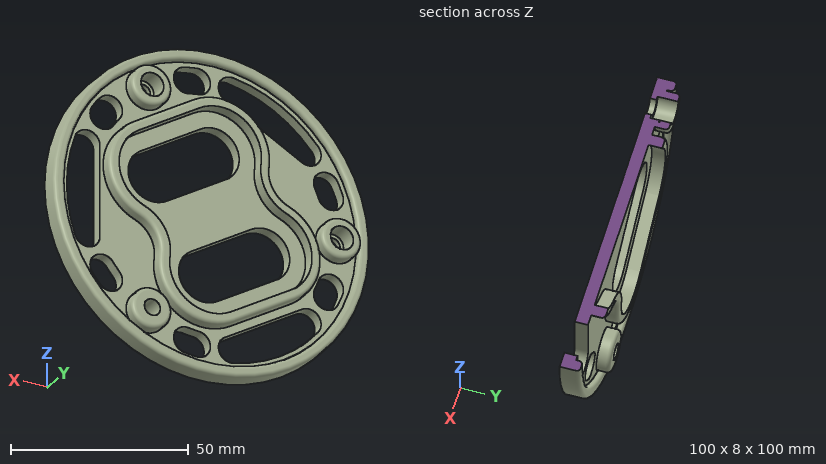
import cadquery as cq
import math

PLATE_RADIUS = 50.0
FLOOR_THICKNESS = 4.0
RIM_HEIGHT = 6.0
RIM_INNER_RADIUS = 46.5
TOTAL_HEIGHT = 8.0
EDGE_FILLET = 1.2

PATTERN_COUNT = 3
PATTERN_STEP = 360.0 / PATTERN_COUNT
FIRST_HOLE_ANGLE = 60.0

HOLE_RADIUS = 2.5
HOLE_PITCH_RADIUS = 40.0
BOSS_RADIUS = 6.25
COUNTERBORE_RADIUS = 3.6
COUNTERBORE_FLOOR = 2.0
COUNTERBORED_HOLES = 2

ARC_SLOT_RADIUS = 41.0
ARC_SLOT_HALF_WIDTH = 4.0
ARC_SLOT_NEAR_ANGLE = 20.0
ARC_SLOT_FAR_ANGLE = 25.0

WINDOW_INNER_DISTANCE = 34.5
WINDOW_OUTER_RADIUS = 45.0
WINDOW_CORNER_RADIUS = 4.0

LONG_SLOT_OFFSET = 16.0
LONG_SLOT_HALF_LENGTH = 11.0
LONG_SLOT_RADIUS = 8.0
LONG_SLOT_TILT = -30.0
PAD_LOBE_RADIUS = 16.0
PAD_VALLEY_RADIUS = 10.0
PAD_WALL_THICKNESS = 3.0


def polar(radius, angle):
    """Point at a radius and an angle in degrees."""
    return (radius * math.cos(math.radians(angle)), radius * math.sin(math.radians(angle)))


def sketch_at(height=0.0):
    """Workplane parallel to XZ at the given Y; its local axes are X and Z."""
    return cq.Workplane("XZ", origin=(0, height, 0))


def raise_up(outline, height):
    """Extrude an outline towards +Y."""
    return outline.extrude(-height)


def turn(shape, angle):
    """Turn a shape about the plate axis, from +X towards +Z."""
    return shape.rotate((0, 0, 0), (0, -1, 0), angle)


def round_top(shape):
    return shape.faces(">Y").edges().fillet(EDGE_FILLET)


def dish():
    """Floor disc with a raised rim."""
    disc = raise_up(sketch_at().circle(PLATE_RADIUS), RIM_HEIGHT)
    recess = raise_up(sketch_at(FLOOR_THICKNESS).circle(RIM_INNER_RADIUS), RIM_HEIGHT - FLOOR_THICKNESS)
    return round_top(disc.cut(recess))


def hole_pattern(radius, bottom, count=PATTERN_COUNT):
    """Cylinders at the first hole positions, from a bottom height up to the full height."""
    centres = [polar(HOLE_PITCH_RADIUS, FIRST_HOLE_ANGLE + i * PATTERN_STEP) for i in range(count)]
    return raise_up(sketch_at(bottom).pushPoints(centres).circle(radius), TOTAL_HEIGHT - bottom)


def pad_block(inset, bottom):
    """Block around both long slots: four round lobes, with a concave valley at each end."""
    lobe_radius = PAD_LOBE_RADIUS - inset
    valley_radius = PAD_VALLEY_RADIUS + inset
    lobe_x = LONG_SLOT_HALF_LENGTH
    lobe_y = LONG_SLOT_OFFSET
    side_y = lobe_y + lobe_radius
    centre_distance = lobe_radius + valley_radius
    valley_x = lobe_x + math.sqrt(centre_distance**2 - lobe_y**2)
    valley_bottom_x = valley_x - valley_radius
    joint_x = lobe_x + (valley_x - lobe_x) * lobe_radius / centre_distance
    joint_y = lobe_y * valley_radius / centre_distance
    bulge_x, bulge_y = polar(lobe_radius, 45)
    mid_x = lobe_x + bulge_x
    mid_y = lobe_y + bulge_y
    outline = (
        sketch_at(bottom)
        .moveTo(-lobe_x, side_y)
        .lineTo(lobe_x, side_y)
        .threePointArc((mid_x, mid_y), (joint_x, joint_y))
        .threePointArc((valley_bottom_x, 0), (joint_x, -joint_y))
        .threePointArc((mid_x, -mid_y), (lobe_x, -side_y))
        .lineTo(-lobe_x, -side_y)
        .threePointArc((-mid_x, -mid_y), (-joint_x, -joint_y))
        .threePointArc((-valley_bottom_x, 0), (-joint_x, joint_y))
        .threePointArc((-mid_x, mid_y), (-lobe_x, side_y))
        .close()
    )
    return turn(raise_up(outline, TOTAL_HEIGHT - bottom), LONG_SLOT_TILT)


def pad_wall():
    """Wall of even thickness standing on the floor around both long slots."""
    block = round_top(pad_block(0.0, 0.0))
    return block.cut(pad_block(PAD_WALL_THICKNESS, FLOOR_THICKNESS))


def long_slots():
    length = 2 * (LONG_SLOT_HALF_LENGTH + LONG_SLOT_RADIUS)
    centres = [(0, LONG_SLOT_OFFSET), (0, -LONG_SLOT_OFFSET)]
    outlines = sketch_at().pushPoints(centres).slot2D(length, 2 * LONG_SLOT_RADIUS)
    return turn(raise_up(outlines, TOTAL_HEIGHT), LONG_SLOT_TILT)


def arc_slot():
    """Slot along the pitch circle, centred on +X, with round ends."""
    half_angle = (ARC_SLOT_FAR_ANGLE - ARC_SLOT_NEAR_ANGLE) / 2
    inner = ARC_SLOT_RADIUS - ARC_SLOT_HALF_WIDTH
    outer = ARC_SLOT_RADIUS + ARC_SLOT_HALF_WIDTH
    end_x, end_y = polar(ARC_SLOT_RADIUS, half_angle)
    reach_x, reach_y = polar(ARC_SLOT_HALF_WIDTH, half_angle + 90)
    tip_x = end_x + reach_x
    tip_y = end_y + reach_y
    outline = (
        sketch_at()
        .moveTo(*polar(inner, -half_angle))
        .threePointArc((inner, 0), polar(inner, half_angle))
        .threePointArc((tip_x, tip_y), polar(outer, half_angle))
        .threePointArc((outer, 0), polar(outer, -half_angle))
        .threePointArc((tip_x, -tip_y), polar(inner, -half_angle))
        .close()
    )
    return raise_up(outline, TOTAL_HEIGHT)


def window():
    """Circle segment on the +X side with its two sharp corners rounded."""
    half_chord = math.sqrt(WINDOW_OUTER_RADIUS**2 - WINDOW_INNER_DISTANCE**2)
    outline = (
        sketch_at()
        .moveTo(WINDOW_INNER_DISTANCE, -half_chord)
        .threePointArc((WINDOW_OUTER_RADIUS, 0), (WINDOW_INNER_DISTANCE, half_chord))
        .close()
    )
    return raise_up(outline, TOTAL_HEIGHT).edges("|Y").fillet(WINDOW_CORNER_RADIUS)


def cover():
    bosses = round_top(hole_pattern(BOSS_RADIUS, 0.0))
    body = dish().union(bosses).union(pad_wall())
    body = body.cut(hole_pattern(HOLE_RADIUS, 0.0))
    body = body.cut(hole_pattern(COUNTERBORE_RADIUS, COUNTERBORE_FLOOR, COUNTERBORED_HOLES))
    body = body.cut(long_slots())
    arc_slot_angle = (ARC_SLOT_NEAR_ANGLE + ARC_SLOT_FAR_ANGLE) / 2
    for i in range(PATTERN_COUNT):
        window_angle = i * PATTERN_STEP
        hole_angle = FIRST_HOLE_ANGLE + window_angle
        body = body.cut(turn(window(), window_angle))
        body = body.cut(turn(arc_slot(), hole_angle - arc_slot_angle))
        body = body.cut(turn(arc_slot(), hole_angle + arc_slot_angle))
    return body


result = cover()